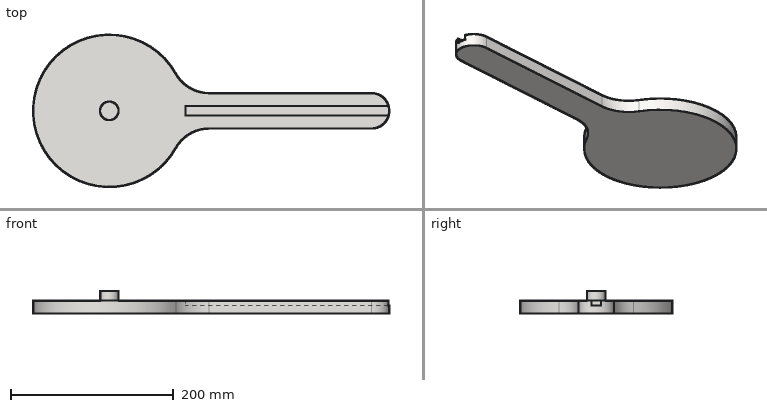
import cadquery as cq
import math

total_length = 438.0
disc_radius = 93.7
plate_thickness = 16.0

handle_width = 44.0
blend_radius = 47.0

peg_diameter = 22.8
peg_height = 12.0

slot_width = 12.0
slot_depth = 6.0

half_width = handle_width / 2
tip_x = total_length - disc_radius
tip_center_x = tip_x - half_width

blend_center_y = half_width + blend_radius
center_distance = disc_radius + blend_radius
blend_center_x = math.sqrt(center_distance**2 - blend_center_y**2)
blend_angle = math.atan2(blend_center_y, blend_center_x)
disc_touch_x = disc_radius * math.cos(blend_angle)
disc_touch_y = disc_radius * math.sin(blend_angle)

mid_angle = (blend_angle + math.pi / 2) / 2
blend_mid_x = blend_center_x - blend_radius * math.cos(mid_angle)
blend_mid_y = blend_center_y - blend_radius * math.sin(mid_angle)


def make_plate():
    """Disc and handle as one flat plate with its underside at Z = 0."""
    return (
        cq.Workplane("XY")
        .moveTo(disc_touch_x, disc_touch_y)
        .threePointArc((-disc_radius, 0), (disc_touch_x, -disc_touch_y))
        .threePointArc((blend_mid_x, -blend_mid_y), (blend_center_x, -half_width))
        .lineTo(tip_center_x, -half_width)
        .threePointArc((tip_x, 0), (tip_center_x, half_width))
        .lineTo(blend_center_x, half_width)
        .threePointArc((blend_mid_x, blend_mid_y), (disc_touch_x, disc_touch_y))
        .close()
        .extrude(plate_thickness)
    )


def make_peg():
    """Peg standing on the disc, running down through the plate."""
    return cq.Workplane("XY").circle(peg_diameter / 2).extrude(plate_thickness + peg_height)


def make_slot():
    """Cutter that starts level with the disc rim and leaves through the tip."""
    return cq.Workplane("XY").box(
        tip_x - disc_radius, slot_width, slot_depth, centered=(False, True, False)
    ).translate((disc_radius, 0, plate_thickness - slot_depth))


result = make_plate().union(make_peg()).cut(make_slot())